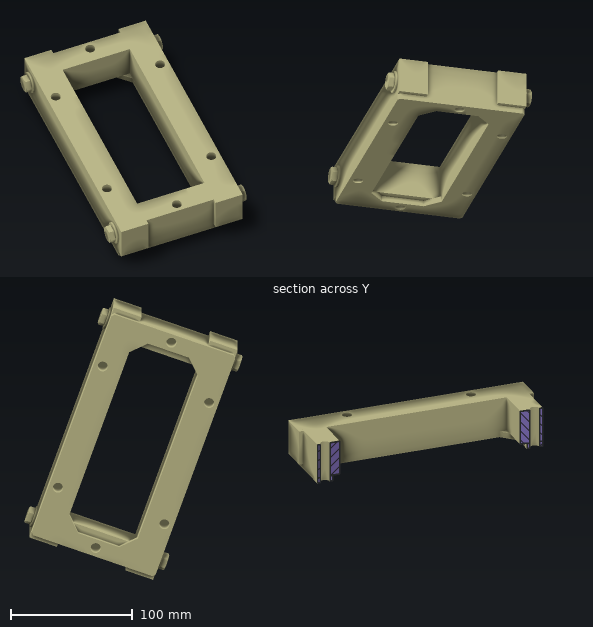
import cadquery as cq
import math


opening_length = 160.0
opening_width = 60.0

rail_length = 208.0
rail_width = 24.1
bar_width = 20.0
bar_seat = 11.6
frame_height = 30.0

frame_width = opening_width + 2 * rail_width
rail_y = (opening_width + rail_width) / 2
bar_length = opening_width + 2 * bar_seat
bar_x = (opening_length + bar_width) / 2

plate_thickness = 5.0
plate_length = opening_length + 2 * bar_width
plate_corner = 2.0
plate_setback = 5.8
visible_corner = 6.2
opening_corner = plate_setback + visible_corner
plate_opening_length = opening_length + 2 * plate_setback

hole_diameter = 8.3
rail_hole_spacing_x = 109.8
rail_hole_spacing_y = 93.0
bar_hole_spacing = 186.0

bolt_spacing = 179.7
washer_diameter = 18.0
washer_thickness = 1.7
collar_diameter = 11.5
collar_thickness = 0.6
head_across_flats = 13.0
head_height = 4.5
head_face_diameter = 12.7
head_bevel_angle = 30.0

frame_bottom = plate_thickness
frame_middle = frame_bottom + frame_height / 2
total_height = frame_bottom + frame_height


def block(length, width, height, x, y, bottom):
    """Box centred on (x, y) that stands on the level `bottom`."""
    return cq.Workplane("XY", origin=(x, y, bottom)).box(length, width, height, centered=(True, True, False))


def make_cross_bar_blank(side_x):
    return block(bar_width, bar_length, frame_height, side_x * bar_x, 0, frame_bottom)


def make_mounting_holes():
    """Cylinders for the four rail holes and the two cross bar holes."""
    rail_holes = [
        (side_x * rail_hole_spacing_x / 2, side_y * rail_hole_spacing_y / 2)
        for side_x in (-1, 1)
        for side_y in (-1, 1)
    ]
    bar_holes = [(side_x * bar_hole_spacing / 2, 0) for side_x in (-1, 1)]
    hole_centres = cq.Workplane("XY").pushPoints(rail_holes + bar_holes)
    return hole_centres.circle(hole_diameter / 2).extrude(total_height)


mounting_holes = make_mounting_holes()


def make_rail(side_y):
    """Long rail with a slot at each end for a cross bar."""
    rail = block(rail_length, rail_width, frame_height, 0, side_y * rail_y, frame_bottom)
    for side_x in (-1, 1):
        rail = rail.cut(make_cross_bar_blank(side_x))
    return rail.cut(mounting_holes)


def make_cross_bar(side_x):
    return make_cross_bar_blank(side_x).cut(mounting_holes)


def make_seal_plate():
    """Flat ring with chamfered corners outside and in the opening."""
    outside = block(plate_length, frame_width, plate_thickness, 0, 0, 0).edges("|Z").chamfer(plate_corner)
    opening = block(plate_opening_length, opening_width, plate_thickness, 0, 0, 0)
    opening = opening.edges("|Z").chamfer(opening_corner)
    return outside.cut(opening).cut(mounting_holes)


def make_hex_head():
    """Hexagon on Z = 0 with two flats facing +Y and -Y and a bevelled end."""
    across_corners = head_across_flats / math.cos(math.radians(30))
    corner_radius = across_corners / 2
    face_radius = head_face_diameter / 2
    bevel_height = (corner_radius - face_radius) * math.tan(math.radians(head_bevel_angle))
    envelope = (
        cq.Workplane("XZ")
        .moveTo(0, 0)
        .lineTo(corner_radius, 0)
        .lineTo(corner_radius, head_height - bevel_height)
        .lineTo(face_radius, head_height)
        .lineTo(0, head_height)
        .close()
        .revolve(360, (0, 0, 0), (0, 1, 0))
    )
    return cq.Workplane("XY").polygon(6, across_corners).extrude(head_height).intersect(envelope)


def make_bolt(side_x, side_y):
    """Washer, collar and hexagon in one piece, pointing outward from a rail face."""
    washer = cq.Workplane("XY").circle(washer_diameter / 2).extrude(washer_thickness)
    collar_top = washer_thickness + collar_thickness
    collar = cq.Workplane("XY").circle(collar_diameter / 2).extrude(collar_top)
    head = make_hex_head().translate((0, 0, collar_top))
    bolt = washer.union(collar).union(head)
    outward = bolt.rotate((0, 0, 0), (1, 0, 0), -90 * side_y)
    return outward.translate((side_x * bolt_spacing / 2, side_y * frame_width / 2, frame_middle))


seal_plate = make_seal_plate()
rails = [make_rail(side_y) for side_y in (-1, 1)]
cross_bars = [make_cross_bar(side_x) for side_x in (-1, 1)]
bolts = [make_bolt(side_x, side_y) for side_x in (-1, 1) for side_y in (-1, 1)]

result = cq.Compound.makeCompound(
    [
        seal_plate.val(),
        *[rail.val() for rail in rails],
        *[cross_bar.val() for cross_bar in cross_bars],
        *[bolt.val() for bolt in bolts],
    ]
)